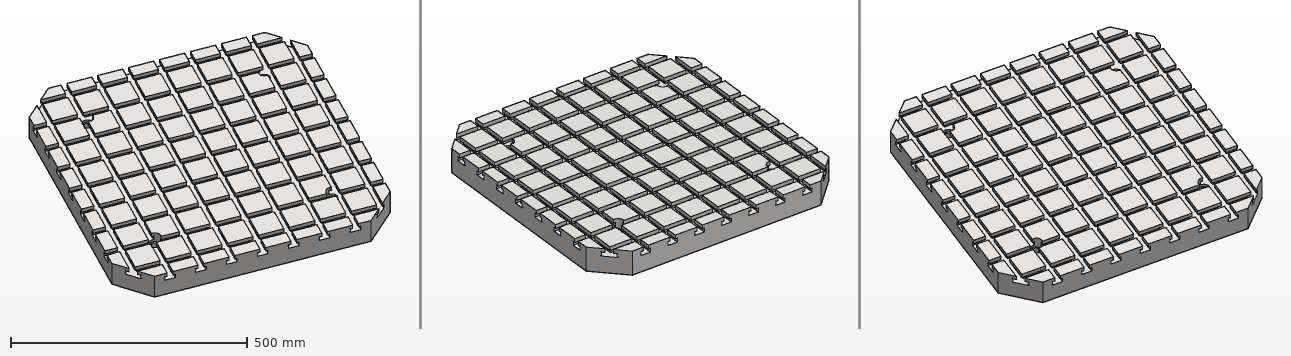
import cadquery as cq

side = 630.0
thickness = 60.0

slot_count = 9
slot_pitch = side / slot_count
neck_width = 13.0
neck_depth = 9.5
tee_width = 24.0
slot_depth = 19.0

corner_chamfer = slot_pitch

hole_spacing = 400.0
hole_diameter = 17.5
counterbore_diameter = 25.0
counterbore_depth = 25.0


def make_plate():
    """Square plate with its bottom on Z = 0 and four chamfered corners."""
    plate = cq.Workplane("XY").box(side, side, thickness, centered=(True, True, False))
    return plate.edges("|Z").chamfer(corner_chamfer)


def make_slots_along_y():
    """Row of T-shaped cutters evenly spread over X and running the full length in Y."""
    slot_centers = [((i - (slot_count - 1) / 2) * slot_pitch, 0) for i in range(slot_count)]
    tee_height = slot_depth - neck_depth
    row = cq.Workplane("XY").workplane(offset=thickness - slot_depth).pushPoints(slot_centers)
    necks = row.rect(neck_width, side).extrude(slot_depth)
    tees = row.rect(tee_width, side).extrude(tee_height)
    return necks.union(tees)


def cut_mounting_holes(plate):
    """Four counterbored through holes at the corners of a square."""
    return (
        plate.faces(">Z")
        .workplane()
        .rect(hole_spacing, hole_spacing, forConstruction=True)
        .vertices()
        .cboreHole(hole_diameter, counterbore_diameter, counterbore_depth)
    )


slots_along_y = make_slots_along_y()
slots_along_x = slots_along_y.rotate((0, 0, 0), (0, 0, 1), 90)

plate = cut_mounting_holes(make_plate())
result = plate.cut(slots_along_y).cut(slots_along_x)